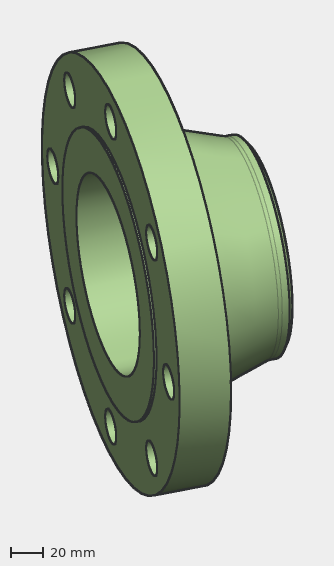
import cadquery as cq
import math

flange_diameter = 279.5
raised_face_diameter = 185.8
raised_face_height = 1.7
flange_thickness = 33.5
overall_length = 98.5

hub_base_diameter = 177.7
hub_fillet_radius = 6.0
weld_end_diameter = 141.5
weld_end_length = 9.5
blend_radius = 8.5
bevel_length = 3.4
bevel_depth = 4.5

bore_diameter = 128.5
bolt_circle_diameter = 235.0
bolt_hole_diameter = 22.4
bolt_hole_count = 8

flange_back = raised_face_height + flange_thickness
weld_end_start = overall_length - weld_end_length


def cylinder_along_y(diameter, start, length):
    plane = cq.Plane(origin=(0, start, 0), xDir=(1, 0, 0), normal=(0, 1, 0))
    return cq.Workplane(plane).circle(diameter / 2).extrude(length)


def make_body():
    """Revolve the flange, tapered hub and bevelled weld end about Y."""
    weld_radius = weld_end_diameter / 2
    hub_radius = hub_base_diameter / 2

    cone_angle = math.atan2(weld_end_start - flange_back, hub_radius - weld_radius)
    tangent_length = hub_fillet_radius * math.tan(cone_angle / 2)
    fillet_start = (hub_radius + tangent_length, flange_back)
    fillet_end = (
        hub_radius - tangent_length * math.cos(cone_angle),
        flange_back + tangent_length * math.sin(cone_angle),
    )

    blend_length = blend_radius * math.tan((math.pi / 2 - cone_angle) / 2)
    blend_start = (
        weld_radius + blend_length * math.cos(cone_angle),
        weld_end_start - blend_length * math.sin(cone_angle),
    )
    blend_end = (weld_radius, weld_end_start + blend_length)

    profile = (
        cq.Workplane("XY")
        .lineTo(raised_face_diameter / 2, 0)
        .lineTo(raised_face_diameter / 2, raised_face_height)
        .lineTo(flange_diameter / 2, raised_face_height)
        .lineTo(flange_diameter / 2, flange_back)
        .lineTo(*fillet_start)
        .radiusArc(fillet_end, hub_fillet_radius)
        .lineTo(*blend_start)
        .radiusArc(blend_end, blend_radius)
        .lineTo(weld_radius, overall_length - bevel_length)
        .lineTo(weld_radius - bevel_depth, overall_length)
        .lineTo(0, overall_length)
        .close()
    )
    return profile.revolve(360, (0, 0, 0), (0, 1, 0))


def make_bolt_holes():
    """Evenly spaced cutters through the flange, the first on the X axis."""
    hole = cylinder_along_y(bolt_hole_diameter, 0, flange_back)
    hole = hole.translate((bolt_circle_diameter / 2, 0, 0))
    holes = cq.Workplane("XY")
    for index in range(bolt_hole_count):
        angle = 360 / bolt_hole_count * index
        holes = holes.add(hole.rotate((0, 0, 0), (0, 1, 0), angle))
    return holes.combine()


bore = cylinder_along_y(bore_diameter, 0, overall_length)
result = make_body().cut(bore).cut(make_bolt_holes())